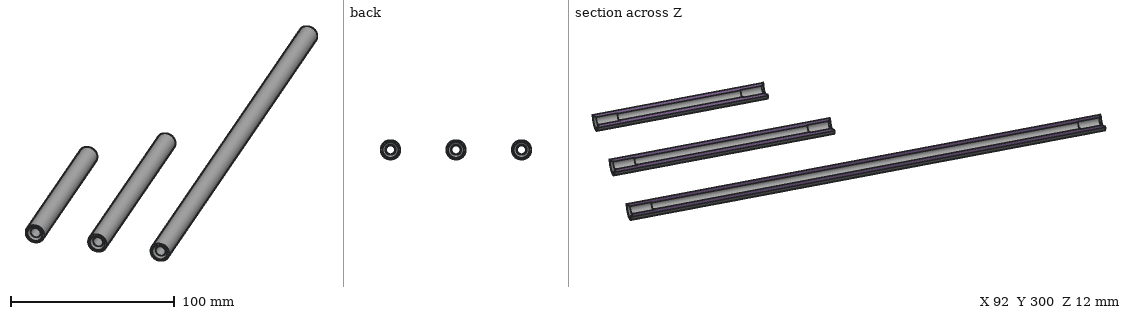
import cadquery as cq

rod_lengths = [108.0, 139.5, 300.0]
rod_diameter = 12.0
rod_span = 92.0
rod_spacing = (rod_span - rod_diameter) / (len(rod_lengths) - 1)

bore_diameter = 5.5
socket_diameter = 6.3
socket_depth = 15.0

countersink_diameter = 9.5
countersink_depth = (countersink_diameter - socket_diameter) / 2


def make_rod(length, x_position):
    """Revolve the wall section of one rod about its axis, then move it along X."""
    outer_radius = rod_diameter / 2
    bore_radius = bore_diameter / 2
    socket_radius = socket_diameter / 2
    mouth_radius = countersink_diameter / 2
    wall_section = (
        cq.Workplane("XY")
        .moveTo(mouth_radius, 0)
        .lineTo(outer_radius, 0)
        .lineTo(outer_radius, length)
        .lineTo(mouth_radius, length)
        .lineTo(socket_radius, length - countersink_depth)
        .lineTo(socket_radius, length - socket_depth)
        .lineTo(bore_radius, length - socket_depth)
        .lineTo(bore_radius, socket_depth)
        .lineTo(socket_radius, socket_depth)
        .lineTo(socket_radius, countersink_depth)
        .close()
    )
    rod = wall_section.revolve(360, (0, 0, 0), (0, 1, 0))
    return rod.translate((x_position, 0, 0))


rods = []
for index, rod_length in enumerate(rod_lengths):
    rods.append(make_rod(rod_length, index * rod_spacing))

result = cq.Compound.makeCompound([rod.val() for rod in rods])